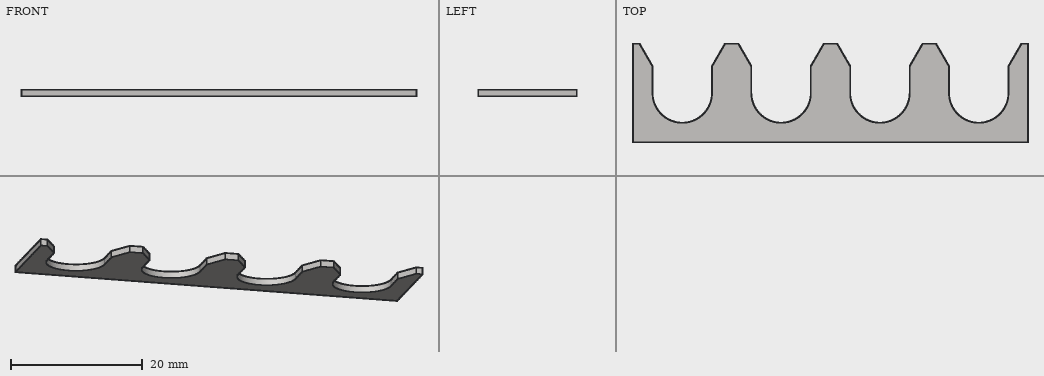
import cadquery as cq
import math

slot_count = 4
length = 60.0
width = 15.0
thickness = 1.0

pitch = length / slot_count
slot_radius = 4.5
spine_width = 3.0
tip_width = 2.05
taper_angle = 60.0

front_y = -width / 2
back_y = width / 2
arc_center_y = front_y + spine_width + slot_radius
mouth_half_width = (pitch - tip_width) / 2
taper_depth = (mouth_half_width - slot_radius) * math.tan(math.radians(taper_angle))
taper_start_y = back_y - taper_depth


def slot_cutter(center_x):
    """U-shaped slot with a flared mouth, through the full thickness."""
    left = center_x - slot_radius
    right = center_x + slot_radius
    return (
        cq.Workplane("XY", origin=(0, 0, -thickness / 2))
        .moveTo(center_x - mouth_half_width, back_y)
        .lineTo(left, taper_start_y)
        .lineTo(left, arc_center_y)
        .threePointArc((center_x, arc_center_y - slot_radius), (right, arc_center_y))
        .lineTo(right, taper_start_y)
        .lineTo(center_x + mouth_half_width, back_y)
        .close()
        .extrude(thickness)
    )


result = cq.Workplane("XY").box(length, width, thickness)
for index in range(slot_count):
    slot_x = (index + 0.5) * pitch - length / 2
    result = result.cut(slot_cutter(slot_x))